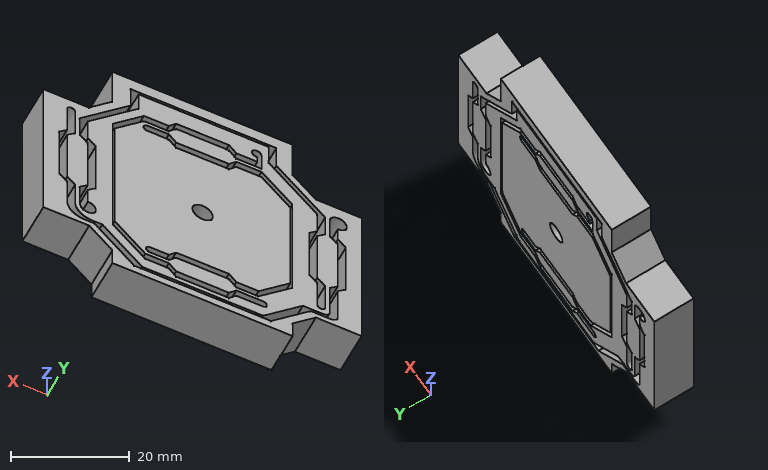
import cadquery as cq


width = 60.0
thickness = 8.0
plate_top = 30.0
plate_bottom = -25.0
arm_half = 17.0
corner_reach = 21.35
hole_diameter = 3.85

slot = 1.5
neck = 0.9
step_length = 1.4
end_radius = slot / 2
motion_gap = 0.6
platform_gap = 0.35

side_outer = 24.0
side_inner = side_outer - neck - slot
side_neck_top = 8.0
side_neck_bottom = -6.85

upper_inner = 17.05
upper_outer = upper_inner + slot + neck
lower_inner = -16.1
lower_outer = lower_inner - slot - neck
cross_neck = 6.35

shelf_z = -15.1
floor_z = -22.6
shelf_end = 18.9
side_slot_top = 14.8
left_hook_z = 12.55
left_hook_diameter = 3.2
left_corner_radius = 1.3
right_corner_radius = 3.1

ceiling_z = 26.5
shoulder_z = 12.85
ceiling_left = -12.4
ceiling_right = 12.05
side_slot_bottom = -13.85
right_hook_z = -11.75
right_hook_diameter = 3.0

platform_half = 16.55
well_half = platform_half + platform_gap
upper_slope_left = -11.1
upper_slope_right = 11.05
lower_slope_left = -10.55
lower_slope_right = 10.8
upper_slot_right_end = 11.1
lower_slot_right_end = 10.6
lower_slot_left_end = -12.1
small_hook_diameter = 1.8
small_hook_z = 23.15
small_hook_stem = 0.8


def prism(points):
    """Closed outline in (x, z), as a cutter through the whole thickness."""
    return cq.Workplane("XZ").polyline(points).close().extrude(thickness / 2, both=True)


def channel(inner_wall, outer_wall):
    """Slot cutter between two walls that run in the same direction."""
    return prism(inner_wall + outer_wall[::-1])


def disc(x, z, diameter):
    """Round cutter through the whole thickness."""
    return cq.Workplane("XZ").center(x, z).circle(diameter / 2).extrude(thickness / 2, both=True)


def round_corner(cutter, x, z, radius):
    """Fillet the through-thickness edge of a cutter at (x, z)."""
    return cutter.edges("|Y").edges(cq.selectors.NearestToPointSelector((x, 0, z))).fillet(radius)


def side_face(x, bulge):
    """Slot face along a side beam, top to bottom: neck, body shifted by bulge, neck."""
    return [
        (x, side_neck_top),
        (x + bulge, side_neck_top - step_length),
        (x + bulge, side_neck_bottom + step_length),
        (x, side_neck_bottom),
    ]


def cross_face(z, bulge):
    """Slot face along an upper or lower beam, left to right."""
    body = cross_neck - step_length
    return [(-cross_neck, z), (-body, z + bulge), (body, z + bulge), (cross_neck, z)]


def make_plate():
    half = width / 2
    right = [
        (arm_half, plate_top),
        (arm_half, corner_reach),
        (corner_reach, arm_half),
        (half, arm_half),
        (half, -arm_half),
        (corner_reach, -arm_half),
        (arm_half, -corner_reach),
        (arm_half, plate_bottom),
    ]
    left = [(-x, z) for x, z in reversed(right)]
    return prism(right + left)


def lower_frame_wall(shift, drop):
    """One wall of the lower frame slot: the inner one, moved outward by shift and down by drop."""
    x = side_outer + shift
    slope_top = shelf_end + shift
    slope_foot = slope_top - (shelf_z - floor_z)
    return [
        (-x, left_hook_z),
        *side_face(-x, -slot),
        (-x, shelf_z - drop),
        (-slope_top, shelf_z - drop),
        (-slope_foot, floor_z - drop),
        (slope_foot, floor_z - drop),
        (slope_top, shelf_z - drop),
        (x, shelf_z - drop),
        *reversed(side_face(x, slot)),
        (x, side_slot_top - end_radius),
    ]


def lower_frame_slot():
    """Slot outside the left beam, below the middle frame and outside the right beam."""
    cutter = channel(lower_frame_wall(0, 0), lower_frame_wall(slot, motion_gap))
    for shift, drop in ((0, 0), (slot, motion_gap)):
        x = side_outer + shift
        cutter = round_corner(cutter, -x, shelf_z - drop, left_corner_radius)
        cutter = round_corner(cutter, x, shelf_z - drop, right_corner_radius)
    hook = disc(-side_outer - left_hook_diameter / 2, left_hook_z, left_hook_diameter)
    end = disc(side_outer + end_radius, side_slot_top - end_radius, slot)
    return cutter.union(hook).union(end)


def upper_frame_wall(shift, lift):
    """One wall of the upper frame slot: the inner one, moved outward by shift and up by lift."""
    x = side_inner + shift
    left_slope_top = shoulder_z + side_inner + ceiling_left
    right_slope_top = shoulder_z + side_inner - ceiling_right
    return [
        (-x, side_slot_bottom + end_radius),
        *reversed(side_face(-x, slot)),
        (-x, shoulder_z),
        (ceiling_left - shift, left_slope_top),
        (ceiling_left - shift, ceiling_z + lift),
        (ceiling_right + shift, ceiling_z + lift),
        (ceiling_right + shift, right_slope_top),
        (x, shoulder_z),
        *side_face(x, -slot),
        (x, right_hook_z),
    ]


def upper_frame_slot():
    """Slot inside the left beam, above the middle frame and inside the right beam."""
    cutter = channel(upper_frame_wall(0, 0), upper_frame_wall(slot, motion_gap))
    end = disc(-side_inner - end_radius, side_slot_bottom + end_radius, slot)
    hook = disc(side_inner + slot - right_hook_diameter / 2, right_hook_z, right_hook_diameter)
    return cutter.union(end).union(hook)


def right_platform_wall(x, offset):
    """One wall of the right platform slot: side face at x, ends moved outward by offset."""
    upper = upper_outer + offset
    lower = lower_outer - offset
    return [
        *cross_face(upper, slot),
        (upper_slope_right, upper),
        (x, upper - (x - upper_slope_right)),
        (x, lower + (x - lower_slope_right)),
        (lower_slope_right, lower),
        *reversed(cross_face(lower, -slot)),
        (lower_slot_left_end + end_radius, lower),
    ]


def right_platform_slot():
    """Slot above the upper beam, right of the platform and below the lower beam."""
    stem_right = upper_slope_left + small_hook_stem
    stem_left_side = [(upper_slope_left, small_hook_z), (upper_slope_left, upper_outer)]
    stem_right_side = [(stem_right, small_hook_z), (stem_right, upper_outer + slot)]
    cutter = channel(
        stem_left_side + right_platform_wall(platform_half, 0),
        stem_right_side + right_platform_wall(well_half, slot),
    )
    hook = disc(upper_slope_left + small_hook_diameter / 2, small_hook_z, small_hook_diameter)
    end = disc(lower_slot_left_end + end_radius, lower_outer - end_radius, slot)
    return cutter.union(hook).union(end)


def left_platform_wall(x, offset):
    """One wall of the left platform slot: side face at -x, ends moved outward by offset."""
    upper = upper_inner + offset
    lower = lower_inner - offset
    return [
        (upper_slot_right_end - end_radius, upper),
        *reversed(cross_face(upper, -slot)),
        (upper_slope_left, upper),
        (-x, upper - (x + upper_slope_left)),
        (-x, lower + (x + lower_slope_left)),
        (lower_slope_left, lower),
        *cross_face(lower, slot),
        (lower_slot_right_end - end_radius, lower),
    ]


def left_platform_slot():
    """Slot below the upper beam, left of the platform and above the lower beam."""
    cutter = channel(left_platform_wall(platform_half, 0), left_platform_wall(well_half, slot))
    upper_end = disc(upper_slot_right_end - end_radius, upper_inner + end_radius, slot)
    lower_end = disc(lower_slot_right_end - end_radius, lower_inner - end_radius, slot)
    return cutter.union(upper_end).union(lower_end)


result = make_plate()
for cutter in (
    lower_frame_slot(),
    upper_frame_slot(),
    right_platform_slot(),
    left_platform_slot(),
    disc(0, 0, hole_diameter),
):
    result = result.cut(cutter)